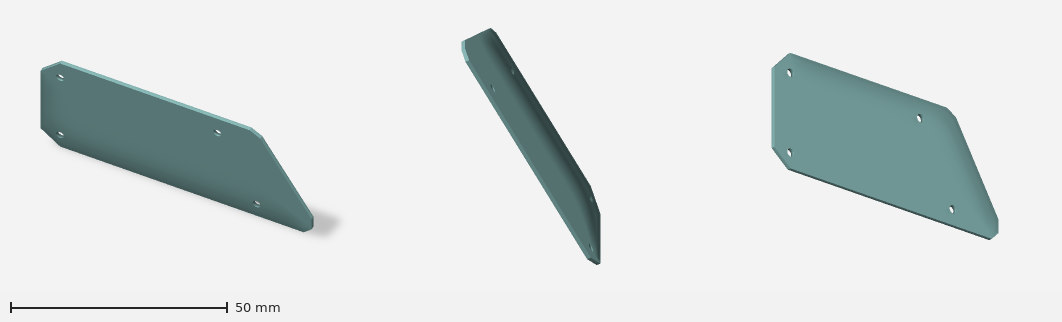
import cadquery as cq

length = 69.0
height = 29.0
thickness = 1.0

left_cut_width = 5.0
left_top_cut_height = 5.0
left_bottom_cut_height = 4.0

right_bottom_chamfer = 2.0
slope_bottom_height = 5.5
slope_top_x = 55.95
slope_top_drop = 1.65
top_edge_end_x = 53.2

hole_diameter = 2.0
left_hole_x = left_cut_width
upper_hole_z = height - left_top_cut_height
lower_hole_z = left_bottom_cut_height
upper_hole_spacing = 40.0
lower_hole_spacing = 50.0

outline = [
    (left_cut_width, 0),
    (length - right_bottom_chamfer, 0),
    (length, right_bottom_chamfer),
    (length, slope_bottom_height),
    (slope_top_x, height - slope_top_drop),
    (top_edge_end_x, height),
    (left_cut_width, height),
    (0, height - left_top_cut_height),
    (0, left_bottom_cut_height),
]

hole_centres = [
    (left_hole_x, upper_hole_z),
    (left_hole_x + upper_hole_spacing, upper_hole_z),
    (left_hole_x, lower_hole_z),
    (left_hole_x + lower_hole_spacing, lower_hole_z),
]

plate = cq.Workplane("XZ").polyline(outline).close().extrude(thickness)

holes = (
    cq.Workplane("XZ")
    .pushPoints(hole_centres)
    .circle(hole_diameter / 2)
    .extrude(thickness)
)

result = plate.cut(holes)